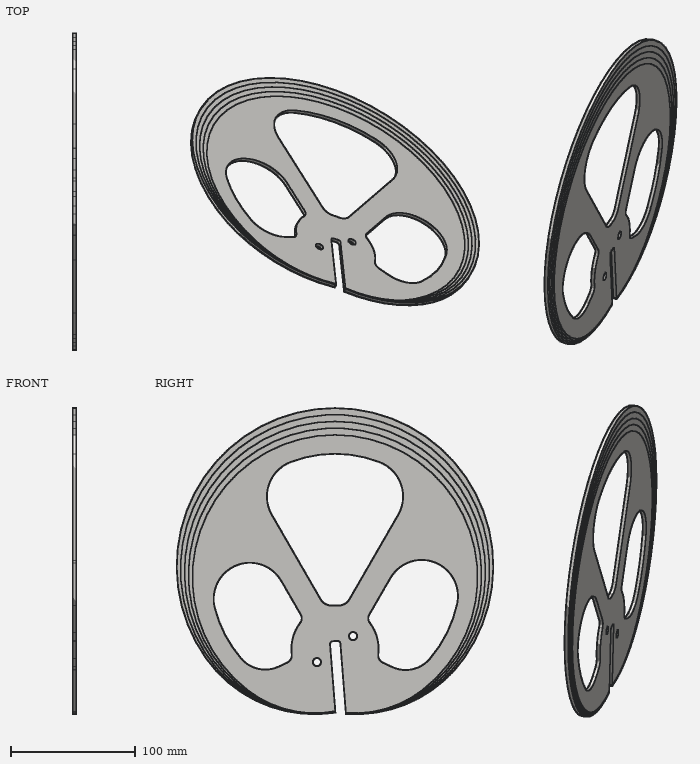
import cadquery as cq
import math


thickness = 3.0

outline_count = 5
smallest_radius = 114.5
largest_radius = 127.3
smallest_center_z = 57.5
largest_center_z = 66.5
lobe_y = 16.3
smallest_bottom_z = -51.5
largest_bottom_z = -52.5

hub_radius = 35.1
spoke_width = 20.0
spoke_angle = 60.0

top_rim_radius = 99.3
left_rim_radius = 100.3
right_rim_radius = 99.5
top_corner_radius = 29.5
top_hub_corner_radius = 10.2
side_corner_radius = 29.0
side_foot_radius = 25.5
side_hub_spoke_radius = 5.5
side_hub_foot_radius = 6.4
foot_line_angle = 25.0
foot_line_y = 38.2
foot_line_z = -10.7

slot_width = 8.1
slot_top_z = 6.4
slot_tilt = 4.5
slot_length = 76.4
slot_corner_radius = 2.3
pin_hole_diameter = 6.4
pin_hole_y = 14.5
pin_hole_z = 10.5

far = 254.5


def polar(radius, angle):
    """Point at the given radius and angle (degrees) around the origin."""
    return radius * math.cos(math.radians(angle)), radius * math.sin(math.radians(angle))


def mirrored(point):
    """Same point on the other side of the centre line."""
    return -point[0], point[1]


def evenly_spaced(smallest, largest, index):
    """Size of one outline, in equal steps from the smallest outline to the largest."""
    return smallest + (largest - smallest) * index / (outline_count - 1)


def make_blank(index):
    """Solid disc inside one outline, counted from 0 for the smallest."""
    radius = evenly_spaced(smallest_radius, largest_radius, index)
    center_z = evenly_spaced(smallest_center_z, largest_center_z, index)
    bottom_z = evenly_spaced(smallest_bottom_z, largest_bottom_z, index)
    overhang = radius - center_z + bottom_z
    drop = (lobe_y**2 - overhang**2) / (2 * overhang)
    lobe_center_z = center_z - drop
    lobe_radius = lobe_center_z - bottom_z
    tangent_angle = math.degrees(math.atan2(-drop, lobe_y))
    tangent_y, tangent_z = polar(radius, tangent_angle)
    middle_y, middle_z = polar(lobe_radius, (tangent_angle - 90) / 2)
    tangent = (tangent_y, center_z + tangent_z)
    lobe_middle = (lobe_y + middle_y, lobe_center_z + middle_z)
    top = (0, center_z + radius)
    notch = (0, lobe_center_z - math.sqrt(lobe_radius**2 - lobe_y**2))
    return (
        cq.Workplane("YZ")
        .moveTo(*notch)
        .threePointArc(lobe_middle, tangent)
        .threePointArc(top, mirrored(tangent))
        .threePointArc(mirrored(lobe_middle), notch)
        .close()
        .extrude(thickness)
    )


def rim_disc(radius):
    """Disc concentric with the smallest outline."""
    return cq.Workplane("YZ").center(0, smallest_center_z).circle(radius).extrude(thickness)


def hub_disc():
    return cq.Workplane("YZ").circle(hub_radius).extrude(thickness)


def make_top_opening():
    """Wedge between the two spokes, from the hub out to the rim."""
    apex_z = spoke_width / 2 / math.cos(math.radians(spoke_angle))
    side_y, side_z = polar(far, spoke_angle)
    wedge = (
        cq.Workplane("YZ")
        .polyline([(0, apex_z), (side_y, apex_z + side_z), (-side_y, apex_z + side_z)])
        .close()
        .extrude(thickness)
    )
    opening = wedge.intersect(rim_disc(top_rim_radius)).cut(hub_disc())
    opening = opening.edges("|X").edges(">Z").fillet(top_corner_radius)
    return opening.edges("|X").edges("<Z").fillet(top_hub_corner_radius)


def make_side_opening(rim_radius):
    """Opening below the +Y spoke, from the hub out to the rim."""
    spoke_slope = math.tan(math.radians(spoke_angle))
    foot_slope = math.tan(math.radians(foot_line_angle))
    spoke_edge_z = -spoke_width / 2 / math.cos(math.radians(spoke_angle))
    foot_edge_z = foot_line_z + foot_line_y * foot_slope
    cross_y = (foot_edge_z - spoke_edge_z) / (spoke_slope + foot_slope)
    wedge = (
        cq.Workplane("YZ")
        .moveTo(cross_y, spoke_edge_z + cross_y * spoke_slope)
        .lineTo(far, spoke_edge_z + far * spoke_slope)
        .lineTo(far, foot_edge_z - far * foot_slope)
        .close()
        .extrude(thickness)
    )
    opening = wedge.intersect(rim_disc(rim_radius)).cut(hub_disc())
    opening = opening.edges("|X").edges("<Y").fillet(side_hub_spoke_radius)
    opening = opening.edges("|X").edges(">Z").fillet(side_corner_radius)
    opening = opening.edges("|X").edges("<Z").fillet(side_foot_radius)
    foot_corner = cq.selectors.NearestToPointSelector((0, foot_line_y, foot_line_z))
    return opening.edges("|X").edges(foot_corner).fillet(side_hub_foot_radius)


def make_slot():
    """Tilted slot from the hub down through the lower edge, leaning toward +Y."""
    return (
        cq.Workplane("YZ")
        .center(0, slot_top_z - slot_length / 2)
        .rect(slot_width, slot_length)
        .extrude(thickness)
        .edges("|X").edges(">Z")
        .fillet(slot_corner_radius)
        .rotate((0, 0, slot_top_z), (1, 0, slot_top_z), slot_tilt)
    )


def make_pin_holes():
    return (
        cq.Workplane("YZ")
        .pushPoints([(pin_hole_y, pin_hole_z), (-pin_hole_y, -pin_hole_z)])
        .circle(pin_hole_diameter / 2)
        .extrude(thickness)
    )


def make_spoked_disc():
    """Innermost body: hub, spokes and the smallest rim."""
    return (
        make_blank(0)
        .cut(make_top_opening())
        .cut(make_side_opening(left_rim_radius))
        .cut(make_side_opening(right_rim_radius).mirror("XZ"))
        .cut(make_slot())
        .cut(make_pin_holes())
    )


def make_rim(index):
    """Eccentric ring between one outline and the next smaller one, opened by the slot."""
    return make_blank(index).cut(make_blank(index - 1)).cut(make_slot())


spoked_disc = make_spoked_disc()
rims = [make_rim(index) for index in range(1, outline_count)]

result = cq.Compound.makeCompound([spoked_disc.val(), *[rim.val() for rim in rims]])